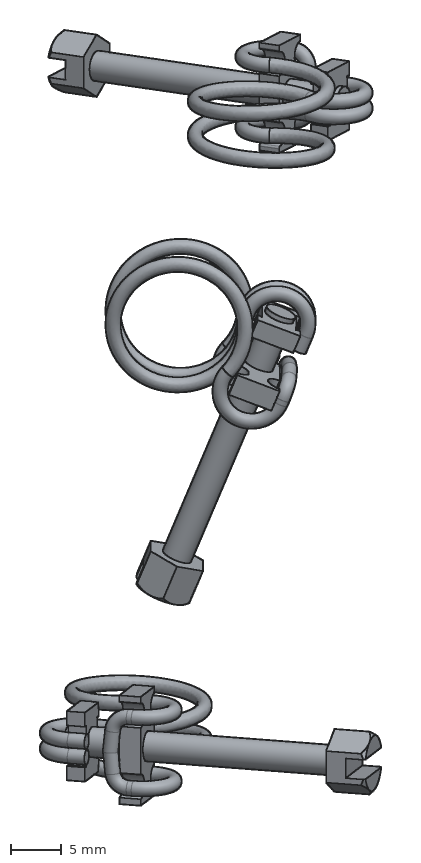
import cadquery as cq
import math


HEAD_ACROSS_FLATS = 5.52
HEAD_LENGTH = 4.0
SLOT_WIDTH = 2.0
SLOT_DEPTH = 2.0
SHANK_DIAMETER = 3.0
SCREW_LENGTH = 31.35

BLOCK_WIDTH = 4.5
END_BLOCK_X = 23.25
END_BLOCK_THICKNESS = 2.2
END_BLOCK_HEIGHT = 11.0
END_BLOCK_GROOVE_RADIUS = 1.25
END_BLOCK_LIP_FILLET = 0.2
NUT_BLOCK_X = 28.95
NUT_BLOCK_THICKNESS = 1.9
NUT_BLOCK_HEIGHT = 7.0
NUT_RECESS_HEIGHT = 4.1
NUT_RECESS_DEPTH = 0.45

WIRE_RADIUS = 0.75
OUTER_RIGHT_X = 34.27
HOOK_RADIUS = 3.1
HOOK_Y = -0.07
CLIP_HOOK_X = 23.75
CLIP_HOOK_Z = 3.6
COIL_HOOK_X = 30.33
COIL_HOOK_Z = 0.8
COIL_HOOK_END_X = 28.55
BEND_START_X = 24.25
BEND_RADIUS = 1.6
BEND_ANGLE = math.radians(84)

COIL_X = (CLIP_HOOK_X + COIL_HOOK_X) / 2
COIL_RADIUS = OUTER_RIGHT_X - WIRE_RADIUS - COIL_X
HOOK_OFFSET_X = COIL_HOOK_X - COIL_X
HOOK_OFFSET_Y = math.sqrt((HOOK_RADIUS + COIL_RADIUS) ** 2 - HOOK_OFFSET_X**2)
COIL_Y = HOOK_Y - HOOK_OFFSET_Y
HOOK_BACK_Y = HOOK_Y + HOOK_RADIUS
JOINT_ANGLE = math.atan2(HOOK_OFFSET_Y, HOOK_OFFSET_X)
JOINT_OFFSET_X = COIL_RADIUS * math.cos(JOINT_ANGLE)
JOINT_Y = COIL_Y + COIL_RADIUS * math.sin(JOINT_ANGLE)


def make_screw():
    """Hexagonal head with two corners on the Z axis, a driver slot along Y and a plain shank."""
    corner_diameter = HEAD_ACROSS_FLATS / math.cos(math.pi / 6)
    head = (
        cq.Workplane("YZ")
        .polygon(6, corner_diameter)
        .extrude(HEAD_LENGTH)
        .rotate((0, 0, 0), (1, 0, 0), 90)
    )
    flat_radius = HEAD_ACROSS_FLATS / 2
    corner_cone = (
        cq.Workplane("XY")
        .polyline([(0, 0), (0, flat_radius), (HEAD_LENGTH, flat_radius + HEAD_LENGTH), (HEAD_LENGTH, 0)])
        .close()
        .revolve(360, (0, 0, 0), (1, 0, 0))
    )
    slot = cq.Workplane("XY").box(2 * SLOT_DEPTH, corner_diameter, SLOT_WIDTH)
    return head.intersect(corner_cone).union(make_shank()).cut(slot)


def make_shank():
    """Round bar along the whole screw, also used to bore the blocks."""
    return cq.Workplane("YZ").circle(SHANK_DIAMETER / 2).extrude(SCREW_LENGTH)


def make_plain_block(start_x, thickness, height):
    """Rectangular block across the screw, bored for the shank."""
    block = cq.Workplane("YZ", origin=(start_x, 0, 0)).rect(BLOCK_WIDTH, height).extrude(thickness)
    return block.cut(make_shank())


def make_end_block():
    """Tall block with a half-round groove beside each run of the clip hooks."""
    grooves = (
        cq.Workplane("YZ", origin=(END_BLOCK_X, 0, 0))
        .rect(BLOCK_WIDTH, 2 * CLIP_HOOK_Z, forConstruction=True)
        .vertices()
        .circle(END_BLOCK_GROOVE_RADIUS)
        .extrude(END_BLOCK_THICKNESS)
    )
    block = make_plain_block(END_BLOCK_X, END_BLOCK_THICKNESS, END_BLOCK_HEIGHT).cut(grooves)
    lip_z = CLIP_HOOK_Z + END_BLOCK_GROOVE_RADIUS
    for edge_z in (-lip_z, lip_z):
        lip_edge = cq.selectors.NearestToPointSelector((END_BLOCK_X, -BLOCK_WIDTH / 2, edge_z))
        block = block.edges("|X").edges(lip_edge).fillet(END_BLOCK_LIP_FILLET)
    return block


def make_nut_block():
    """Short block with a shallow recess on both sides beside the coil hooks."""
    recesses = (
        cq.Workplane("YZ", origin=(NUT_BLOCK_X, 0, 0))
        .pushPoints([(-BLOCK_WIDTH / 2, 0), (BLOCK_WIDTH / 2, 0)])
        .rect(2 * NUT_RECESS_DEPTH, NUT_RECESS_HEIGHT)
        .extrude(NUT_BLOCK_THICKNESS)
    )
    return make_plain_block(NUT_BLOCK_X, NUT_BLOCK_THICKNESS, NUT_BLOCK_HEIGHT).cut(recesses)


def sweep_wire(edges, start, direction):
    """Round wire of the given edges, which begin at start in the given direction."""
    path = cq.Wire.assembleEdges(edges)
    section = cq.Workplane(cq.Plane(origin=start, normal=direction)).circle(WIRE_RADIUS)
    return section.sweep(cq.Workplane(path), isFrenet=True)


def make_coil():
    """Helix of a little over one turn that rises from the coil hook to the clip hook."""
    angle_between_joints = math.pi - 2 * JOINT_ANGLE
    sweep_angle = 2 * math.pi + angle_between_joints
    rise = CLIP_HOOK_Z - COIL_HOOK_Z
    pitch = rise * 2 * math.pi / sweep_angle
    helix = cq.Wire.makeHelix(pitch, rise, COIL_RADIUS)
    section = cq.Workplane("XZ").center(COIL_RADIUS, 0).circle(WIRE_RADIUS)
    coil = section.sweep(cq.Workplane(helix), isFrenet=True)
    coil = coil.rotate((0, 0, 0), (0, 0, 1), math.degrees(JOINT_ANGLE))
    return coil.translate((COIL_X, COIL_Y, COIL_HOOK_Z))


def make_upper_coil_wire():
    """Upper coil with the hook that reaches round the end of the screw."""
    end = (COIL_HOOK_END_X, HOOK_BACK_Y, COIL_HOOK_Z)
    arc_start = (COIL_HOOK_X, HOOK_BACK_Y, COIL_HOOK_Z)
    arc_middle = (COIL_HOOK_X + HOOK_RADIUS, HOOK_Y, COIL_HOOK_Z)
    joint = (COIL_X + JOINT_OFFSET_X, JOINT_Y, COIL_HOOK_Z)
    edges = [
        cq.Edge.makeLine(cq.Vector(end), cq.Vector(arc_start)),
        cq.Edge.makeThreePointArc(cq.Vector(arc_start), cq.Vector(arc_middle), cq.Vector(joint)),
    ]
    return sweep_wire(edges, end, (1, 0, 0)).union(make_coil())


def make_clip():
    """Two hooks joined at their back ends by a bent bridge, which has its apex at Z = 0."""
    joint = (COIL_X - JOINT_OFFSET_X, JOINT_Y, CLIP_HOOK_Z)
    arc_middle = (CLIP_HOOK_X - HOOK_RADIUS, HOOK_Y, CLIP_HOOK_Z)
    arc_end = (CLIP_HOOK_X, HOOK_BACK_Y, CLIP_HOOK_Z)
    bend_start = (BEND_START_X, HOOK_BACK_Y, CLIP_HOOK_Z)

    def bend_point(angle):
        return (
            BEND_START_X + BEND_RADIUS * math.sin(angle),
            HOOK_BACK_Y,
            CLIP_HOOK_Z - BEND_RADIUS * (1 - math.cos(angle)),
        )

    bend_end = bend_point(BEND_ANGLE)
    leg_length = 2 * bend_end[2]
    leg_end = (
        bend_end[0] + leg_length * math.cos(BEND_ANGLE),
        HOOK_BACK_Y,
        bend_end[2] - leg_length * math.sin(BEND_ANGLE),
    )
    edges = [
        cq.Edge.makeLine(cq.Vector(leg_end), cq.Vector(bend_end)),
        cq.Edge.makeThreePointArc(
            cq.Vector(bend_end), cq.Vector(bend_point(BEND_ANGLE / 2)), cq.Vector(bend_start)
        ),
        cq.Edge.makeLine(cq.Vector(bend_start), cq.Vector(arc_end)),
        cq.Edge.makeThreePointArc(cq.Vector(arc_end), cq.Vector(arc_middle), cq.Vector(joint)),
    ]
    half = sweep_wire(edges, leg_end, (-math.cos(BEND_ANGLE), 0, math.sin(BEND_ANGLE)))
    lower_space = cq.Workplane("XY").rect(3 * OUTER_RIGHT_X, OUTER_RIGHT_X).extrude(-OUTER_RIGHT_X)
    half = half.cut(lower_space)
    return half.union(half.mirror("XY"))


screw = make_screw()
clip = make_clip()
upper_coil_wire = make_upper_coil_wire()
coil_wires = [upper_coil_wire, upper_coil_wire.mirror("XY")]

end_block = make_end_block().cut(clip)
nut_block = make_nut_block()
for coil_wire in coil_wires:
    end_block = end_block.cut(coil_wire)
    nut_block = nut_block.cut(coil_wire)

result = cq.Compound.makeCompound(
    [screw.val(), clip.val(), end_block.val(), nut_block.val(), *[wire.val() for wire in coil_wires]]
)